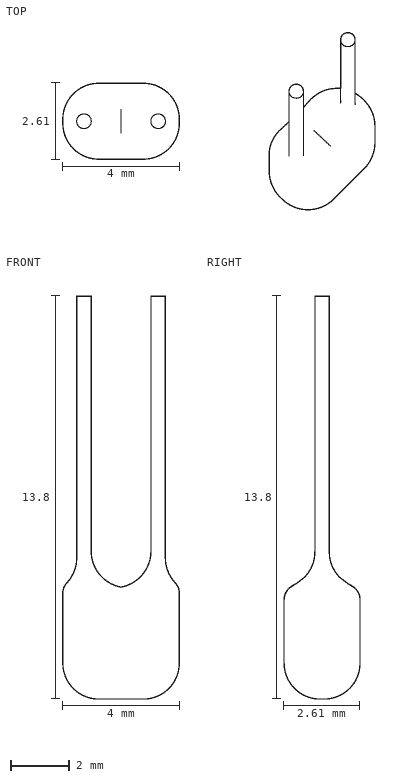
import cadquery as cq
import math

body_width = 4.0
body_depth = 2.61
corner_radius = 1.24
bottom_radius = corner_radius
total_height = 13.8
shoulder_height = 3.82
shoulder_edge_radius = 0.5

lead_diameter = 0.5
lead_pitch = 2.54

neck_radius = 1.25
neck_outer_drop = 0.23
neck_inner_half_angle = 63
neck_section_count = 13
neck_core_radius = 0.1
shoulder_reach = body_width

tolerance = 0.001

lead_radius = lead_diameter / 2
lead_x = lead_pitch / 2
neck_outer_radius = lead_radius + neck_radius


def neck_drop(angle):
    """Drop of the neck at an angle in degrees from the inward direction."""
    spread = 180 - neck_inner_half_angle
    turn = math.pi * (angle - neck_inner_half_angle) / spread
    return neck_outer_drop * (1 - math.cos(turn)) / 2


def neck_profile(angle, drop):
    """Closed radial profile of the neck, standing on the axis of the left lead."""
    axis_plane = cq.Plane(
        origin=(-lead_x, 0, 0),
        xDir=(math.cos(math.radians(angle)), math.sin(math.radians(angle)), 0),
        normal=(math.sin(math.radians(angle)), -math.cos(math.radians(angle)), 0),
    )
    foot = shoulder_height - drop
    tangent = foot + neck_radius
    arc_offset = neck_radius * math.sqrt(0.5)
    return (
        cq.Workplane(axis_plane)
        .moveTo(neck_core_radius, 0)
        .lineTo(shoulder_reach, 0)
        .lineTo(shoulder_reach, foot)
        .lineTo(neck_outer_radius, foot)
        .threePointArc((neck_outer_radius - arc_offset, tangent - arc_offset), (lead_radius, tangent))
        .lineTo(neck_core_radius, tangent)
        .close()
    )


def make_inner_neck():
    """Sector of the neck that faces the other lead, a plain body of revolution."""
    profile = neck_profile(-neck_inner_half_angle, 0)
    return profile.revolve(2 * neck_inner_half_angle, (0, 0, 0), (0, 1, 0))


def make_outer_neck():
    """Remaining sector of the neck, sinking gradually towards its outward side."""
    sweep = 360 - 2 * neck_inner_half_angle
    wires = []
    for index in range(neck_section_count):
        angle = neck_inner_half_angle + sweep * index / (neck_section_count - 1)
        wires.append(neck_profile(angle, neck_drop(angle)).wire().val())
    return cq.Workplane(cq.Solid.makeLoft(wires))


def make_envelope():
    """Left half of the body outline with its round bottom, open upwards."""
    block = (
        cq.Workplane("XY")
        .rect(body_width, body_depth)
        .extrude(total_height)
        .edges("|Z")
        .fillet(corner_radius)
        .faces("<Z")
        .edges()
        .fillet(bottom_radius)
    )
    half = cq.Workplane("XY").box(body_width, body_width, total_height, centered=(True, True, False))
    return block.intersect(half.translate((-body_width / 2, 0, 0)))


def make_lead():
    """Left lead, carried down through the body to close the middle of the neck."""
    return cq.Workplane("XY", origin=(-lead_x, 0, 0)).circle(lead_radius).extrude(total_height)


def is_shoulder_edge(edge):
    """True for an edge at the top of the body that follows its outline."""
    middle = edge.positionAt(0.5)
    past_flat_x = max(abs(middle.x) - (body_width / 2 - corner_radius), 0)
    past_flat_y = max(abs(middle.y) - (body_depth / 2 - corner_radius), 0)
    on_outline = abs(math.hypot(past_flat_x, past_flat_y) - corner_radius) < tolerance
    return on_outline and middle.z > shoulder_height - neck_outer_drop


def make_half():
    """Left half of the part with its shoulder edge rounded over."""
    filling = make_inner_neck().union(make_outer_neck()).union(make_lead())
    half = make_envelope().intersect(filling)
    return half.edges().filter(is_shoulder_edge).fillet(shoulder_edge_radius)


left_half = make_half()
result = left_half.union(left_half.mirror("YZ"))